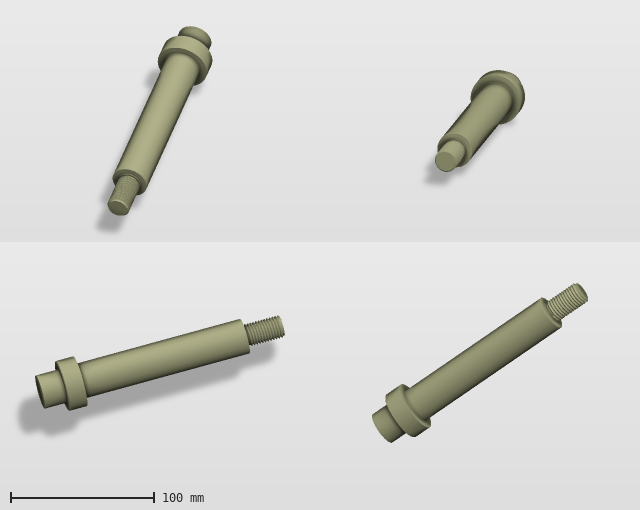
import cadquery as cq

total_length = 176.0
stud_length = 27.0
collar_length = 13.0
spigot_length = 16.0

collar_radius = 36.0 / 2
shaft_radius = 25.0 / 2
spigot_radius = 24.0 / 2
collar_fillet = 1.0
spigot_fillet = 0.5
collar_chamfer = 0.5
shaft_chamfer = 0.2

thread_radius = 16.0 / 2
core_radius = 13.8 / 2
thread_pitch = 2.0
crest_width = thread_pitch / 8
root_width = thread_pitch * 7 / 8
root_fillet = 0.5
root_embed = 0.1

tip_y = -total_length / 2
shaft_front_y = tip_y + stud_length
root_front_y = shaft_front_y - root_fillet
spigot_end_y = total_length / 2
collar_back_y = spigot_end_y - spigot_length
collar_front_y = collar_back_y - collar_length


def make_pillar():
    """Turned pillar: stud core, shaft, collar and spigot revolved about Y."""
    half_profile = (
        cq.Workplane("YZ")
        .moveTo(tip_y, 0)
        .lineTo(tip_y, core_radius)
        .lineTo(root_front_y, core_radius)
        .lineTo(root_front_y, thread_radius)
        .radiusArc((shaft_front_y, thread_radius + root_fillet), -root_fillet)
        .lineTo(shaft_front_y, shaft_radius - shaft_chamfer)
        .lineTo(shaft_front_y + shaft_chamfer, shaft_radius)
        .lineTo(collar_front_y - collar_fillet, shaft_radius)
        .radiusArc((collar_front_y, shaft_radius + collar_fillet), -collar_fillet)
        .lineTo(collar_front_y, collar_radius)
        .lineTo(collar_back_y - collar_chamfer, collar_radius)
        .lineTo(collar_back_y, collar_radius - collar_chamfer)
        .lineTo(collar_back_y, spigot_radius + spigot_fillet)
        .radiusArc((collar_back_y + spigot_fillet, spigot_radius), -spigot_fillet)
        .lineTo(spigot_end_y, spigot_radius)
        .lineTo(spigot_end_y, 0)
        .close()
    )
    return half_profile.revolve(360, (0, 0, 0), (1, 0, 0))


def make_thread():
    """Right-hand trapezoidal ridge that fills the stud from its root to the tip."""
    ridge_height = thread_radius - core_radius
    flank_slope = (root_width - crest_width) / ridge_height
    inner_radius = core_radius - root_embed
    inner_width = root_width + flank_slope * root_embed

    helix_height = root_front_y - tip_y - inner_width
    helix = cq.Wire.makeHelix(thread_pitch, helix_height, core_radius)
    ridge = (
        cq.Workplane("XZ")
        .moveTo(inner_radius, -inner_width / 2)
        .lineTo(thread_radius, -crest_width / 2)
        .lineTo(thread_radius, crest_width / 2)
        .lineTo(inner_radius, inner_width / 2)
        .close()
        .sweep(cq.Workplane(obj=helix), isFrenet=True)
    )
    core = (
        cq.Workplane("XY")
        .workplane(offset=-thread_pitch)
        .circle(core_radius)
        .extrude(stud_length + 2 * thread_pitch)
    )
    return (
        ridge.cut(core)
        .rotate((0, 0, 0), (1, 0, 0), 90)
        .rotate((0, 0, 0), (0, 1, 0), 90)
        .translate((0, root_front_y - inner_width / 2, 0))
    )


pillar = make_pillar()
thread = make_thread()

result = cq.Compound.makeCompound([pillar.val(), *thread.solids().vals()])